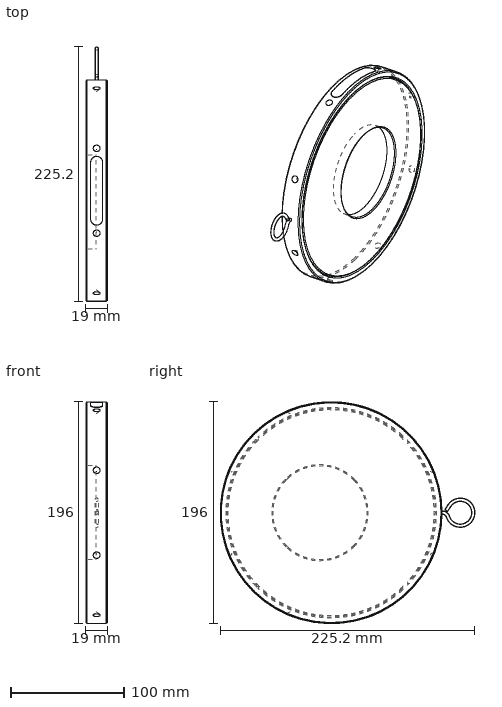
import cadquery as cq
import math

disc_diameter = 196.0
disc_radius = disc_diameter / 2
disc_thickness = 19.0
edge_chamfer = 1.0
face_x = -disc_thickness / 2

groove_radius = 92.0
groove_depth = 1.0

pocket_diameter = 83.0
pocket_y = -10.0
pocket_depth = 9.0

dimple_count = 8
dimple_diameter = 6.0
dimple_tip_diameter = 0.1
dimple_wall_angle = 45
dimple_clearance = 2.3
dimple_pitch = 360 / dimple_count

label_length = 60.8
label_width = 10.5
label_depth = 0.2

overall_length = 225.2
wire_diameter = 3.0
eye_inner_diameter = 20.0
eye_radius = (eye_inner_diameter + wire_diameter) / 2
eye_center_y = overall_length - disc_radius - eye_inner_diameter / 2 - wire_diameter
neck_bend_radius = 5.0
free_end_angle = 33
free_end_length = 5.2
shank_embedment = 4.5


def make_disc():
    disc = cq.Workplane("YZ", origin=(face_x, 0, 0)).circle(disc_radius).extrude(disc_thickness)
    return disc.edges("%CIRCLE").chamfer(edge_chamfer)


def make_groove():
    """Revolve a triangle about the disc axis."""
    profile = [
        (face_x, groove_radius - groove_depth),
        (face_x + groove_depth, groove_radius),
        (face_x, groove_radius + groove_depth),
    ]
    return cq.Workplane("XY").polyline(profile).close().revolve(360, (0, 0, 0), (1, 0, 0))


def make_pocket():
    """Round pocket with a chamfered mouth, revolved about its own axis."""
    radius = pocket_diameter / 2
    profile = [
        (face_x, 0),
        (face_x, radius + edge_chamfer),
        (face_x + edge_chamfer, radius),
        (face_x + pocket_depth, radius),
        (face_x + pocket_depth, 0),
    ]
    pocket = cq.Workplane("XY").polyline(profile).close().revolve(360, (0, 0, 0), (1, 0, 0))
    return pocket.translate((0, pocket_y, 0))


def make_dimple(angle):
    """Cone pointing inward from the rim, at an angle measured from +Y about X."""
    mouth_radius = dimple_diameter / 2
    tip_radius = dimple_tip_diameter / 2
    depth = (mouth_radius - tip_radius) / math.tan(math.radians(dimple_wall_angle))
    mouth_height = math.sqrt(disc_radius**2 - mouth_radius**2)
    profile = [
        (0, mouth_height - depth),
        (tip_radius, mouth_height - depth),
        (mouth_radius, mouth_height),
        (mouth_radius, disc_radius + dimple_clearance),
        (0, disc_radius + dimple_clearance),
    ]
    cone = cq.Workplane("XZ").polyline(profile).close().revolve(360, (0, 0, 0), (0, 1, 0))
    return cone.rotate((0, 0, 0), (1, 0, 0), angle - 90)


def make_label_recess():
    slot = cq.Workplane("XY").slot2D(label_length, label_width, 90).extrude(disc_diameter)
    core = cq.Workplane("YZ").circle(disc_radius - label_depth).extrude(disc_thickness, both=True)
    return slot.cut(core)


def eye_point(angle):
    """Point on the eye's centre line as (Y, Z), at an angle measured from -Y toward +Z."""
    turn = math.radians(angle)
    return eye_center_y - eye_radius * math.cos(turn), eye_radius * math.sin(turn)


def make_eyelet():
    center_distance = eye_radius + neck_bend_radius
    contact = math.asin(neck_bend_radius / center_distance)
    bend_y = eye_center_y - center_distance * math.cos(contact)
    half_turn = (math.pi / 2 - contact) / 2
    bend_middle = (
        bend_y + neck_bend_radius * math.sin(half_turn),
        -neck_bend_radius + neck_bend_radius * math.cos(half_turn),
    )
    free_end_turn = math.radians(free_end_angle)
    eye_end = eye_point(free_end_angle)
    free_end = (
        eye_end[0] - free_end_length * math.sin(free_end_turn),
        eye_end[1] - free_end_length * math.cos(free_end_turn),
    )
    shank_start = disc_radius - shank_embedment
    path = (
        cq.Workplane("YZ")
        .moveTo(shank_start, 0)
        .lineTo(bend_y, 0)
        .threePointArc(bend_middle, eye_point(-math.degrees(contact)))
        .threePointArc((eye_center_y + eye_radius, 0), eye_end)
        .lineTo(*free_end)
    )
    wire_section = cq.Workplane("XZ", origin=(0, shank_start, 0)).circle(wire_diameter / 2)
    return wire_section.sweep(path)


result = make_disc().cut(make_groove()).cut(make_pocket()).cut(make_label_recess())
for index in range(dimple_count):
    result = result.cut(make_dimple((index + 0.5) * dimple_pitch))
result = result.union(make_eyelet())